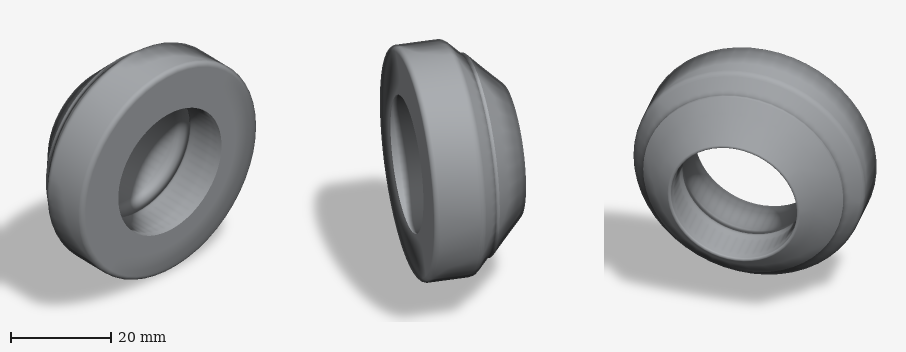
import cadquery as cq
import math

total_length = 21.2
outer_radius = 24.0
nose_bore_radius = 13.05
base_bore_radius = 28.1 / 2
nose_edge_radius = 2.1
base_edge_radius = 0.95

nose_radius = 20.75
seat_rim_x = 7.85
seat_angle = math.radians(30)
nose_tip_radius = 0.4
shoulder_radius = 1.8
rear_edge_radius = 1.0
cone_angle = math.radians(45)


def arc_point(center, radius, angle):
    """Point on an arc; the angle runs from the -X direction towards larger radius."""
    return (center[0] - radius * math.cos(angle), center[1] + radius * math.sin(angle))


def bore_edge_arc(bore_radius, edge_radius, side):
    """Arc tangent to the bore and the conical seat: its bore end, middle and seat end.

    The side is -1 for the nose ring, in front of the seat, and +1 for the base ring, behind it.
    """
    corner_x = seat_rim_x + (nose_radius - bore_radius) * math.tan(seat_angle)
    wedge_angle = math.pi / 2 + side * seat_angle
    tangent_length = edge_radius / math.tan(wedge_angle / 2)
    center = (corner_x + side * tangent_length, bore_radius + edge_radius)
    middle_turn = (math.pi - wedge_angle) / 2
    middle = (
        center[0] - side * edge_radius * math.sin(middle_turn),
        center[1] - edge_radius * math.cos(middle_turn),
    )
    seat_end = (
        corner_x - tangent_length * math.sin(seat_angle),
        bore_radius + tangent_length * math.cos(seat_angle),
    )
    return (center[0], bore_radius), middle, seat_end


def revolve_about_x(profile):
    return profile.close().revolve(360, (0, 0, 0), (1, 0, 0))


def make_nose_ring():
    tip_center = (nose_tip_radius, nose_bore_radius + nose_tip_radius)
    tip_middle = arc_point(tip_center, nose_tip_radius, 0)
    cone_start = arc_point(tip_center, nose_tip_radius, cone_angle)
    land_x = cone_start[0] + (nose_radius - cone_start[1]) / math.tan(cone_angle)
    bore_end, edge_middle, seat_end = bore_edge_arc(nose_bore_radius, nose_edge_radius, side=-1)

    profile = (
        cq.Workplane("XY")
        .moveTo(nose_tip_radius, nose_bore_radius)
        .threePointArc(tip_middle, cone_start)
        .lineTo(land_x, nose_radius)
        .lineTo(seat_rim_x, nose_radius)
        .lineTo(*seat_end)
        .threePointArc(edge_middle, bore_end)
    )
    return revolve_about_x(profile)


def make_base_ring():
    shoulder_center_r = outer_radius - shoulder_radius
    cone_end_r = shoulder_center_r + shoulder_radius * math.sin(cone_angle)
    cone_end_x = seat_rim_x + (cone_end_r - nose_radius) / math.tan(cone_angle)
    shoulder_end_x = cone_end_x + shoulder_radius * math.cos(cone_angle)
    shoulder_middle = arc_point(
        (shoulder_end_x, shoulder_center_r), shoulder_radius, (cone_angle + math.pi / 2) / 2
    )
    rear_center = (total_length - rear_edge_radius, outer_radius - rear_edge_radius)
    rear_middle = arc_point(rear_center, rear_edge_radius, math.radians(135))
    bore_end, edge_middle, seat_end = bore_edge_arc(base_bore_radius, base_edge_radius, side=1)

    profile = (
        cq.Workplane("XY")
        .moveTo(*seat_end)
        .lineTo(seat_rim_x, nose_radius)
        .lineTo(cone_end_x, cone_end_r)
        .threePointArc(shoulder_middle, (shoulder_end_x, outer_radius))
        .lineTo(rear_center[0], outer_radius)
        .threePointArc(rear_middle, (total_length, rear_center[1]))
        .lineTo(total_length, base_bore_radius)
        .lineTo(*bore_end)
        .threePointArc(edge_middle, seat_end)
    )
    return revolve_about_x(profile)


nose_ring = make_nose_ring()
base_ring = make_base_ring()
result = cq.Compound.makeCompound([nose_ring.val(), base_ring.val()])